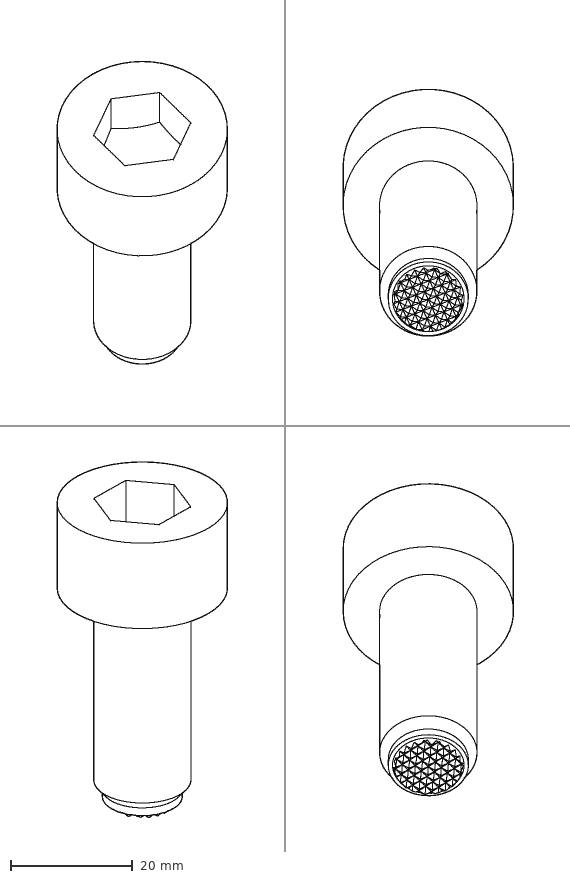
import cadquery as cq
import math


length = 56.0
head_diameter = 28.0
head_height = 15.95
shank_diameter = 16.0
point_diameter = 13.15
point_height = 1.45
chamfer_height = 1.7

socket_across_flats = 14.0
socket_depth = 8.0
floor_slope = math.radians(30)

tip_height = 1.05
tip_base_diameter = 11.75
tip_side_angle = math.radians(25)
tooth_pitch = 1.5
teeth_across = 8
tooth_height = 0.7
tooth_flat = 0.15

socket_corner_radius = socket_across_flats / math.sqrt(3)
floor_cone_depth = socket_corner_radius * math.tan(floor_slope)
tip_end_radius = tip_base_diameter / 2 - tip_height * math.tan(tip_side_angle)

end_z = -length
point_end_z = end_z + tip_height
point_top_z = point_end_z + point_height
chamfer_top_z = point_top_z + chamfer_height


def make_socket():
    """Hexagonal prism, corners on X, ending in a cone that starts at the hexagon corners."""
    hexagon = (
        cq.Workplane("XY")
        .polygon(6, 2 * socket_corner_radius)
        .extrude(-socket_depth - floor_cone_depth)
    )
    drilled_hole = (
        cq.Workplane("XZ")
        .moveTo(0, 0)
        .lineTo(socket_corner_radius, 0)
        .lineTo(socket_corner_radius, -socket_depth)
        .lineTo(0, -socket_depth - floor_cone_depth)
        .close()
        .revolve(360, (0, 0, 0), (0, 1, 0))
    )
    return hexagon.intersect(drilled_hole)


def make_screw():
    """Head, shank, end chamfer and short cylindrical point, with the socket cut in the head."""
    blank = (
        cq.Workplane("XZ")
        .moveTo(0, 0)
        .lineTo(head_diameter / 2, 0)
        .lineTo(head_diameter / 2, -head_height)
        .lineTo(shank_diameter / 2, -head_height)
        .lineTo(shank_diameter / 2, chamfer_top_z)
        .lineTo(point_diameter / 2, point_top_z)
        .lineTo(point_diameter / 2, point_end_z)
        .lineTo(0, point_end_z)
        .close()
        .revolve(360, (0, 0, 0), (0, 1, 0))
    )
    return blank.cut(make_socket())


def make_groove(offset):
    """V groove along Y, centred at X = offset, open at the end of the tip."""
    half_width = (tooth_pitch - tooth_flat) / 2
    return (
        cq.Workplane("XZ")
        .moveTo(offset - half_width, end_z)
        .lineTo(offset, end_z + tooth_height)
        .lineTo(offset + half_width, end_z)
        .close()
        .extrude(tip_base_diameter / 2, both=True)
    )


def make_tip():
    """Tapered disc seated on the point, its end cut into blunt pyramid teeth by crossed grooves."""
    tip = (
        cq.Workplane("XZ")
        .moveTo(0, point_end_z)
        .lineTo(tip_base_diameter / 2, point_end_z)
        .lineTo(tip_end_radius, end_z)
        .lineTo(0, end_z)
        .close()
        .revolve(360, (0, 0, 0), (0, 1, 0))
    )
    for index in range(1, teeth_across):
        groove = make_groove((index - teeth_across / 2) * tooth_pitch)
        tip = tip.cut(groove)
        tip = tip.cut(groove.rotate((0, 0, 0), (0, 0, 1), 90))
    return tip


screw = make_screw()
tip = make_tip()

result = cq.Compound.makeCompound([screw.val(), tip.val()])